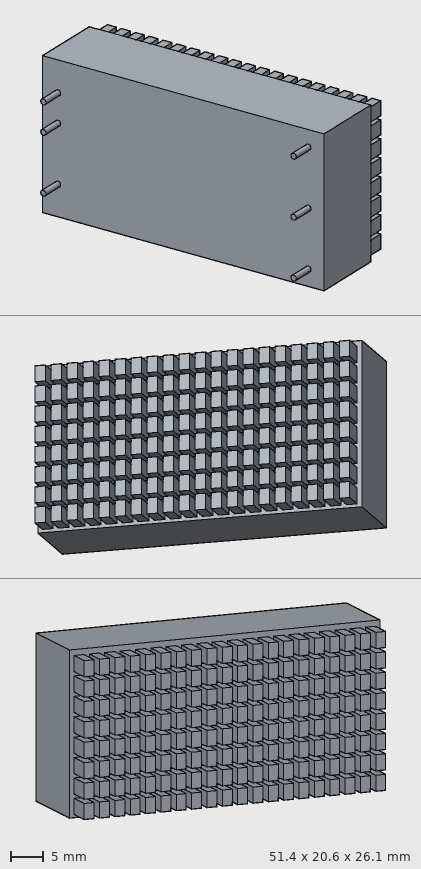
import cadquery as cq

body_length = 51.4
body_depth = 12.75
body_height = 26.15

post_columns = 20
post_rows = 8
post_columns_span = 48.25
post_rows_span = 22.2
post_column_pitch = post_columns_span / (post_columns - 1)
post_row_pitch = post_rows_span / (post_rows - 1)
post_width = 1.65
post_height = 2.5
post_length = 3.85
post_grid_drop = 0.2

pin_diameter = 1.0
pin_length = 4.0
pin_column_spacing = 45.7
pin_column_steps = 18
pin_pitch = pin_column_spacing / pin_column_steps
left_pin_steps = (-3, 1, 3)
right_pin_steps = (-4, 0, 4)


def make_body():
    block = cq.Workplane("XY").box(body_length, body_depth, body_height)
    return block.translate((0, body_depth / 2, 0))


def make_posts():
    return (
        cq.Workplane("XZ", origin=(0, body_depth, -post_grid_drop))
        .rarray(post_column_pitch, post_row_pitch, post_columns, post_rows)
        .rect(post_width, post_height)
        .extrude(-post_length)
    )


def make_pins():
    column_x = pin_column_spacing / 2
    left_centres = [(-column_x, step * pin_pitch) for step in left_pin_steps]
    right_centres = [(column_x, step * pin_pitch) for step in right_pin_steps]
    return (
        cq.Workplane("XZ")
        .pushPoints(left_centres + right_centres)
        .circle(pin_diameter / 2)
        .extrude(pin_length)
    )


result = make_body().union(make_posts()).union(make_pins())